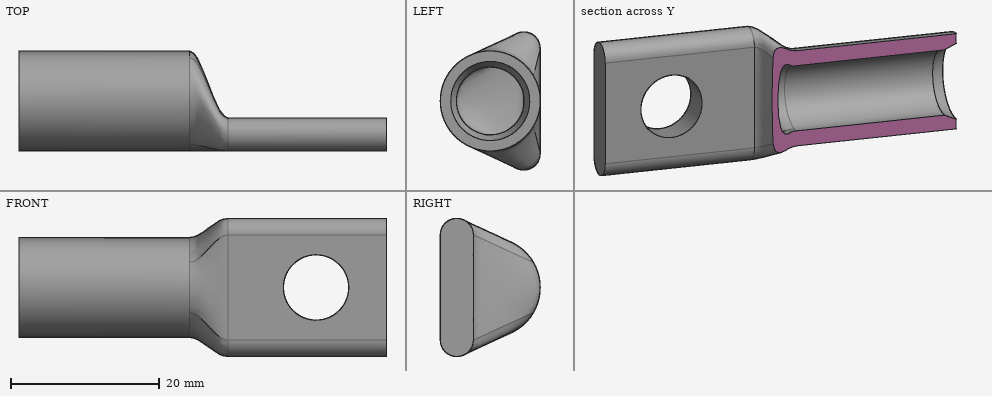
import cadquery as cq
import math

total_length = 49.6
barrel_diameter = 13.5
bore_diameter = 9.15
mouth_diameter = 10.65
mouth_depth = 1.75
barrel_length = 23.0
palm_start = 28.2
palm_width = 18.65
palm_thickness = 4.45
hole_diameter = 8.8
hole_x = 40.1
slit_thickness = 0.1
barrel_face_angle = 30.0
bore_face_angle = 80.0
section_count = 7

barrel_radius = barrel_diameter / 2
bore_radius = bore_diameter / 2
palm_center_y = (palm_thickness - barrel_diameter) / 2
palm_face_height = palm_width - palm_thickness
palm_length = total_length - palm_start


def circle_points(radius, face_angle):
    """Corners and arc midpoints, in (Y, Z), of a circle split into four arcs."""
    angles = [180 - face_angle, 180, 180 + face_angle, 270, 360 - face_angle, 0, face_angle, 90]
    return [(radius * math.cos(math.radians(a)), radius * math.sin(math.radians(a))) for a in angles]


def slot_points(thickness):
    """Matching points of a slot with flat faces and full round edges."""
    half_thickness = thickness / 2
    half_face = palm_face_height / 2
    tip = half_face + half_thickness
    front = palm_center_y - half_thickness
    back = palm_center_y + half_thickness
    return [
        (front, half_face), (front, 0), (front, -half_face), (palm_center_y, -tip),
        (back, -half_face), (back, 0), (back, half_face), (palm_center_y, tip),
    ]


def transition(radius, face_angle, thickness):
    """Solid that eases from a circle into a slot, tangent to X at both ends."""
    start_points = circle_points(radius, face_angle)
    end_points = slot_points(thickness)
    wires = []
    for index in range(section_count):
        progress = index / (section_count - 1)
        blend = progress ** 2 * (3 - 2 * progress)
        x = barrel_length + progress * (palm_start - barrel_length)
        points = [
            cq.Vector(x, y0 + blend * (y1 - y0), z0 + blend * (z1 - z0))
            for (y0, z0), (y1, z1) in zip(start_points, end_points)
        ]
        edges = []
        for corner in range(0, len(points), 2):
            start = points[corner]
            middle = points[corner + 1]
            end = points[(corner + 2) % len(points)]
            flat_face = index == section_count - 1 and corner % 4 == 0
            if flat_face:
                edges.append(cq.Edge.makeLine(start, end))
            else:
                edges.append(cq.Edge.makeThreePointArc(start, middle, end))
        wires.append(cq.Wire.assembleEdges(edges))
    return cq.Workplane(obj=cq.Solid.makeLoft(wires))


barrel = cq.Workplane("YZ").circle(barrel_radius).extrude(barrel_length)
palm = (
    cq.Workplane("YZ", origin=(palm_start, 0, 0))
    .center(palm_center_y, 0)
    .slot2D(palm_width, palm_thickness, 90)
    .extrude(palm_length)
)
body = barrel.union(transition(barrel_radius, barrel_face_angle, palm_thickness)).union(palm)

bore = cq.Workplane("YZ").circle(bore_radius).extrude(barrel_length)
mouth = cq.Workplane(
    obj=cq.Solid.makeCone(mouth_diameter / 2, bore_radius, mouth_depth, dir=cq.Vector(1, 0, 0))
)
body = body.cut(bore).cut(mouth).cut(transition(bore_radius, bore_face_angle, slit_thickness))

bolt_hole = (
    cq.Workplane("XZ")
    .center(hole_x, 0)
    .circle(hole_diameter / 2)
    .extrude(barrel_diameter, both=True)
)
result = body.cut(bolt_hole)